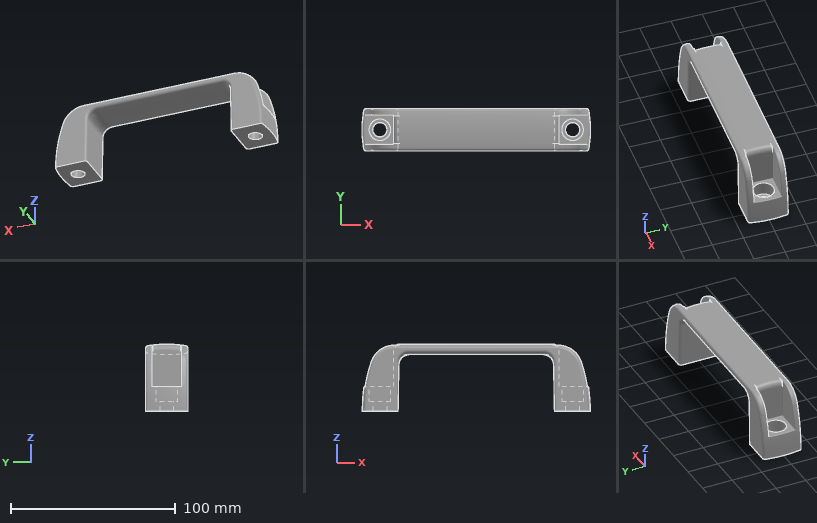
import cadquery as cq
import math

length = 138.8
width = 26.0
height = 41.0
half_length = length / 2
half_width = width / 2

shoulder_radius = 15.7
shoulder_start_x = 49.5
crown_radius = 66.6
crown_drop = crown_radius - math.sqrt(crown_radius**2 - half_width**2)
skin_depth = 4.2
core_inset = 2.8

bar_thickness = 6.7
opening_half_width = 47.3
draft_angle = 1.0
opening_corner_radius = 5.8

edge_radius = 2.0

pocket_width = 17.8
pocket_floor = 15.0
pocket_back_x = 50.2
pocket_corner_radius = 0.4
lip_width = pocket_width - 2 * pocket_corner_radius
lip_radius = 3.7
rim_radius = 0.5
rim_margin = 0.4

hole_x = 58.4
hole_diameter = 8.5
counterbore_diameter = 13.0
counterbore_depth = 9.0


def outer_arch(inset):
    """Open curve from foot to foot along the outer arch, moved inwards by inset."""
    centre_z = height - shoulder_radius
    run = half_length - shoulder_start_x
    flank_radius = (run**2 + centre_z**2 - shoulder_radius**2) / (2 * (run - shoulder_radius))
    flank_centre_x = half_length - flank_radius
    tilt = math.atan2(centre_z, shoulder_start_x - flank_centre_x)

    def flank_point(angle):
        radius = flank_radius - inset
        return flank_centre_x + radius * math.cos(angle), radius * math.sin(angle)

    def shoulder_point(angle):
        radius = shoulder_radius - inset
        return shoulder_start_x + radius * math.cos(angle), centre_z + radius * math.sin(angle)

    def mirrored(point):
        return -point[0], point[1]

    foot = flank_point(0)
    flank_middle = flank_point(tilt / 2)
    flank_top = flank_point(tilt)
    shoulder_middle = shoulder_point((tilt + math.pi / 2) / 2)
    shoulder_top = shoulder_point(math.pi / 2)
    return (
        cq.Workplane("XZ")
        .moveTo(*mirrored(foot))
        .threePointArc(mirrored(flank_middle), mirrored(flank_top))
        .threePointArc(mirrored(shoulder_middle), mirrored(shoulder_top))
        .lineTo(*shoulder_top)
        .threePointArc(shoulder_middle, flank_top)
        .threePointArc(flank_middle, foot)
    )


def make_arch():
    """Solid arch whose outer face is crowned across the width."""
    skin = (
        cq.Workplane("XY")
        .moveTo(-half_length + skin_depth, -half_width)
        .lineTo(-half_length + crown_drop, -half_width)
        .threePointArc((-half_length, 0), (-half_length + crown_drop, half_width))
        .lineTo(-half_length + skin_depth, half_width)
        .close()
        .sweep(outer_arch(0))
    )
    core = outer_arch(core_inset).close().extrude(half_width, both=True)
    return core.union(skin).clean()


def make_opening():
    """Space between the legs, with the crowned underside of the bar as its roof."""
    roof_middle = height - bar_thickness
    roof_side = roof_middle + crown_drop
    roof_half_width = opening_half_width - roof_side * math.tan(math.radians(draft_angle))
    between_legs = (
        cq.Workplane("XZ")
        .moveTo(-opening_half_width, 0)
        .lineTo(opening_half_width, 0)
        .lineTo(roof_half_width, roof_side)
        .lineTo(-roof_half_width, roof_side)
        .close()
        .extrude(half_width, both=True)
    )
    under_bar = (
        cq.Workplane("YZ")
        .moveTo(-half_width, 0)
        .lineTo(-half_width, roof_side)
        .threePointArc((0, roof_middle), (half_width, roof_side))
        .lineTo(half_width, 0)
        .close()
        .extrude(half_length, both=True)
    )
    opening = between_legs.intersect(under_bar)
    for side in (-1, 1):
        corner = cq.selectors.NearestToPointSelector((side * roof_half_width, 0, roof_middle))
        opening = opening.edges(corner).fillet(opening_corner_radius)
    return opening


def box_between(x_start, x_end, box_width, z_bottom):
    """Block centred on the middle plane, tall enough to clear the top of the handle."""
    return (
        cq.Workplane("XY")
        .box(x_end - x_start, box_width, height, centered=(False, True, False))
        .translate((x_start, 0, z_bottom))
    )


def make_pocket():
    """Pocket of the -X leg with rounded inner corners, before its lip is rounded."""
    pocket = box_between(-length, -pocket_back_x, pocket_width, pocket_floor)
    return pocket.edges("(>X and |Z) or (<Z and |X) or (<Z and >X)").fillet(pocket_corner_radius)


def make_lip_cutter():
    """Material to remove above the rounded lip of the -X pocket."""
    lip_end_x = -pocket_back_x + lip_radius
    crown = (
        cq.Workplane("YZ", origin=(-half_length, 0, height - crown_radius))
        .circle(crown_radius)
        .extrude(half_length)
    )
    back_edge = cq.selectors.NearestToPointSelector((-pocket_back_x, 0, height))
    rounded_end = (
        box_between(-pocket_back_x, 0, lip_width, pocket_floor)
        .intersect(crown)
        .edges(back_edge)
        .fillet(lip_radius)
    )
    return box_between(-pocket_back_x, lip_end_x, lip_width, pocket_floor).cut(rounded_end)


def add_screw_pocket(body, side):
    """Cut the pocket of one leg, side being -1 or 1 along X."""
    pocket = make_pocket()
    lip_cutter = make_lip_cutter()
    if side > 0:
        pocket = pocket.mirror("YZ")
        lip_cutter = lip_cutter.mirror("YZ")

    body = body.cut(pocket)
    mouth = cq.selectors.BoxSelector(
        (side * (pocket_back_x + rim_margin), -pocket_width / 2 - rim_margin, pocket_floor - rim_margin),
        (side * length, pocket_width / 2 + rim_margin, height),
    )
    straight = cq.selectors.StringSyntaxSelector("|X or |Y or |Z")
    body = body.edges(mouth - straight).fillet(rim_radius)
    return body.cut(lip_cutter)


def add_screw_holes(body):
    return (
        body.cut(
            cq.Workplane("XY")
            .pushPoints([(-hole_x, 0), (hole_x, 0)])
            .circle(hole_diameter / 2)
            .extrude(pocket_floor)
        )
        .cut(
            cq.Workplane("XY", origin=(0, 0, pocket_floor - counterbore_depth))
            .pushPoints([(-hole_x, 0), (hole_x, 0)])
            .circle(counterbore_diameter / 2)
            .extrude(counterbore_depth)
        )
    )


handle = make_arch().cut(make_opening())
handle = handle.faces("<Y or >Y").edges("not <Z").fillet(edge_radius)
for leg_side in (-1, 1):
    handle = add_screw_pocket(handle, leg_side)
result = add_screw_holes(handle)